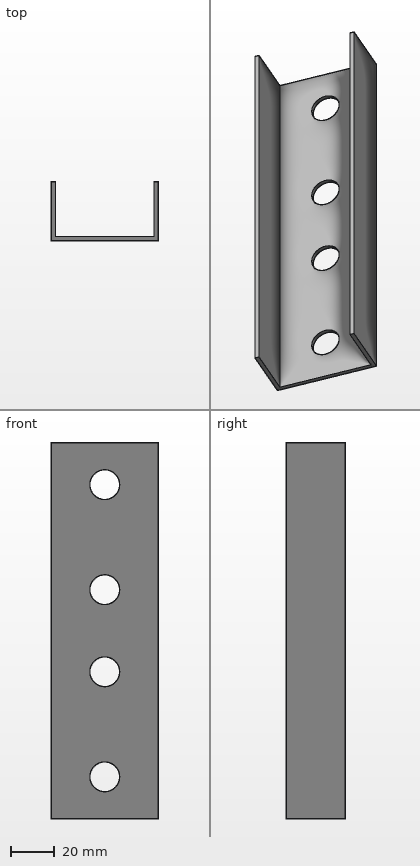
import cadquery as cq

width = 49.0
depth = 27.0
length = 172.0
wall = 2.0

hole_diameter = 13.5
inner_hole_spacing = 37.5
outer_hole_spacing = 133.5


def make_channel():
    """U-shaped channel centred on the origin, with its web on the -Y side."""
    block = cq.Workplane("XY").box(width, depth, length)
    cavity = (
        cq.Workplane("XY")
        .box(width - 2 * wall, depth, length)
        .translate((0, wall, 0))
    )
    return block.cut(cavity)


def cut_web_holes(channel):
    """Cut the two pairs of round holes along the centreline of the web."""
    hole_points = []
    for spacing in (inner_hole_spacing, outer_hole_spacing):
        hole_points.append((0, spacing / 2))
        hole_points.append((0, -spacing / 2))
    drills = (
        cq.Workplane("XZ")
        .pushPoints(hole_points)
        .circle(hole_diameter / 2)
        .extrude(depth)
    )
    return channel.cut(drills)


result = cut_web_holes(make_channel())